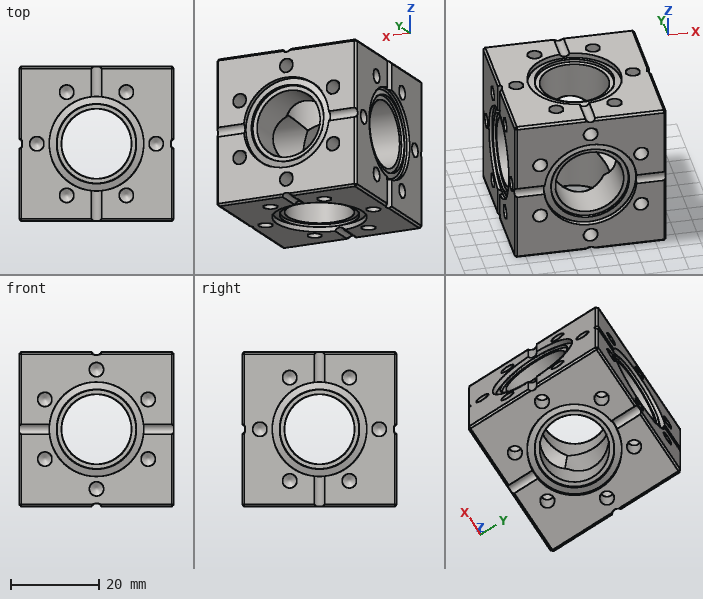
import cadquery as cq
import math

CUBE_SIZE = 35.0
HALF_SIZE = CUBE_SIZE / 2
EDGE_CHAMFER = 0.5

BORE_DIAMETER = 15.8
RECESS_DIAMETER = 21.4
RECESS_DEPTH = 1.2
KNIFE_DIAMETER = 18.1
KNIFE_SLOPE = math.radians(20)
SEAT_DIAMETER = 17.9
SEAT_DEPTH = RECESS_DEPTH
FLOOR_CHAMFER = 0.5

BOLT_COUNT = 6
BOLT_CIRCLE_DIAMETER = 27.0
BOLT_HOLE_DIAMETER = 3.24
BOLT_HOLE_DEPTH = 7.0
DRILL_POINT_ANGLE = math.radians(118)

GROOVE_WIDTH = 2.27
GROOVE_DEPTH = 0.75
GROOVE_START = 10.6

FACES = [
    ((1, 0, 0), (0, 0, 1)),
    ((-1, 0, 0), (0, 0, 1)),
    ((0, 1, 0), (1, 0, 0)),
    ((0, -1, 0), (1, 0, 0)),
    ((0, 0, 1), (0, 1, 0)),
    ((0, 0, -1), (0, 1, 0)),
]
CHAMFERED_FACE = (-1, 0, 0)


def seal_cutter(has_floor_chamfer):
    """Ring cutter, revolved about the face normal, that leaves a raised knife edge."""
    wall_radius = RECESS_DIAMETER / 2
    knife_radius = KNIFE_DIAMETER / 2
    seat_radius = SEAT_DIAMETER / 2
    knife_depth = RECESS_DEPTH - (wall_radius - knife_radius) * math.tan(KNIFE_SLOPE)

    profile = cq.Workplane("XZ").lineTo(wall_radius, 0)
    if has_floor_chamfer:
        chamfer_inset = FLOOR_CHAMFER * math.cos(KNIFE_SLOPE)
        chamfer_rise = FLOOR_CHAMFER * math.sin(KNIFE_SLOPE)
        profile = profile.lineTo(wall_radius, -RECESS_DEPTH + FLOOR_CHAMFER)
        profile = profile.lineTo(wall_radius - chamfer_inset, -RECESS_DEPTH + chamfer_rise)
    else:
        profile = profile.lineTo(wall_radius, -RECESS_DEPTH)
    return (
        profile.lineTo(knife_radius, -knife_depth)
        .lineTo(seat_radius, -SEAT_DEPTH)
        .lineTo(0, -SEAT_DEPTH)
        .close()
        .revolve(360, (0, 0, 0), (0, 1, 0))
    )


def bolt_hole_cutters():
    """Ring of blind holes with conical drill points; the first lies square to the groove."""
    radius = BOLT_HOLE_DIAMETER / 2
    point_length = radius / math.tan(DRILL_POINT_ANGLE / 2)
    hole = (
        cq.Workplane("XZ")
        .lineTo(radius, 0)
        .lineTo(radius, -BOLT_HOLE_DEPTH)
        .lineTo(0, -BOLT_HOLE_DEPTH - point_length)
        .close()
        .revolve(360, (0, 0, 0), (0, 1, 0))
        .translate((0, BOLT_CIRCLE_DIAMETER / 2, 0))
    )
    holes = cq.Workplane("XY")
    for index in range(BOLT_COUNT):
        holes = holes.add(hole.rotate((0, 0, 0), (0, 0, 1), index * 360 / BOLT_COUNT))
    return holes.combine()


def groove_cutters():
    """Two grooves along local X, one on each side of the recess."""
    radius = ((GROOVE_WIDTH / 2) ** 2 + GROOVE_DEPTH**2) / (2 * GROOVE_DEPTH)
    groove = (
        cq.Workplane("YZ")
        .center(0, radius - GROOVE_DEPTH)
        .circle(radius)
        .extrude(CUBE_SIZE)
        .translate((GROOVE_START, 0, 0))
    )
    return groove.union(groove.mirror("YZ"))


def place_on_face(cutter, normal, groove_direction):
    """Move a cutter built at the origin, facing +Z, onto a cube face."""
    origin = tuple(HALF_SIZE * component for component in normal)
    plane = cq.Plane(origin=origin, xDir=groove_direction, normal=normal)
    return cutter.val().located(cq.Location(plane))


def cube_with_bores():
    """Chamfered cube with a bore through it along each axis."""
    body = cq.Workplane("XY").box(CUBE_SIZE, CUBE_SIZE, CUBE_SIZE)
    body = body.edges().chamfer(EDGE_CHAMFER)
    for plane_name in ("XY", "XZ", "YZ"):
        bore = cq.Workplane(plane_name).circle(BORE_DIAMETER / 2).extrude(HALF_SIZE, both=True)
        body = body.cut(bore)
    return body


result = cube_with_bores()
for face_normal, groove_axis in FACES:
    seal = seal_cutter(face_normal == CHAMFERED_FACE)
    for face_cutter in (seal, bolt_hole_cutters(), groove_cutters()):
        result = result.cut(place_on_face(face_cutter, face_normal, groove_axis))